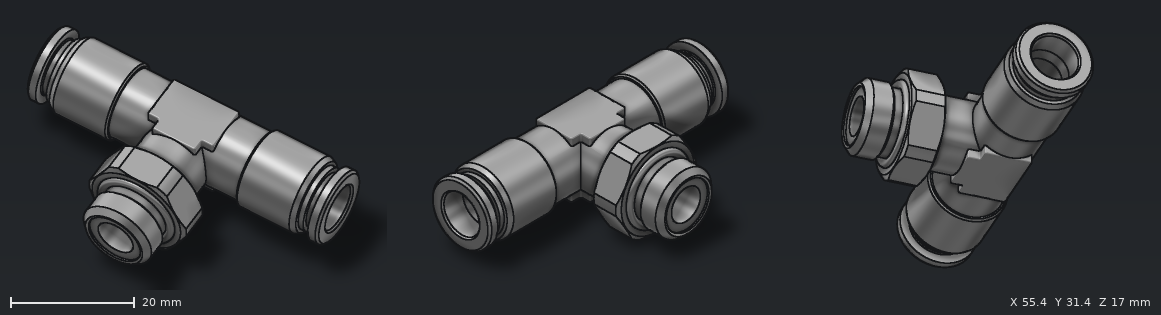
import cadquery as cq
import math


run_length = 55.4
run_radius = 6.25
sleeve_radius = 6.9
sleeve_start = 4.25
sleeve_end = 15.45
sleeve_lead_length = 1.0
sleeve_lead_height = 0.5
sleeve_back_chamfer = 0.35
shoulder_start = 3.25
shoulder_radius = 5.75
collar_radius = 6.7
collar_thickness = 1.85
collar_chamfer = 0.45
collar_root_chamfer = 0.2
collar_neck_radius = 4.95

tube_bore_radius = 4.1
tube_bore_depth = 4.7
mouth_chamfer = 0.3
mouth_chamfer_depth = 0.4
run_bore_radius = 3.5
bore_cone_length = 1.65
stud_bore_radius = 3.3

pad_half_height = 6.4
pad_reach = 6.25
pad_half_width = 4.1
pad_edge_radius = 0.35

branch_radius = run_radius
hex_sides = 6
hex_start = 11.7
hex_end = 17.55
hex_across_flats = 17.0
hex_corner_radius = 9.25
hex_face_radius = 8.4
hex_chamfer_length = 0.45

stud_end = 24.5
undercut_radius = 5.75
undercut_end = 19.5
thread_start = 20.0
thread_radius = 6.5
thread_chamfer_start = 23.4
thread_tip_radius = 5.45
tip_face_radius = 4.95
tip_chamfer_depth = 0.15
tip_recess_depth = 0.55

oring_outer_radius = 7.3
oring_section_radius = (oring_outer_radius - undercut_radius) / 2
oring_center_radius = oring_outer_radius - oring_section_radius
oring_center_y = hex_end


def revolve_about_y(points):
    """Solid of revolution about Y from (radius, distance along -Y) points."""
    outline = [(radius, -distance) for radius, distance in points]
    return cq.Workplane("XY").polyline(outline).close().revolve(360, (0, 0), (0, 1))


def revolve_about_x(points):
    """Solid of revolution about X from (x, radius) points."""
    outline = [(x, -radius) for x, radius in points]
    return cq.Workplane("XY").polyline(outline).close().revolve(360, (0, 0), (1, 0))


def revolve_symmetric_run(half_outline):
    """Full-length solid about X from (distance from the outer end, radius) points of one half."""
    half_length = run_length / 2
    left = [(distance - half_length, radius) for distance, radius in half_outline]
    right = [(-x, radius) for x, radius in reversed(left)]
    return revolve_about_x([(-half_length, 0), *left, *right, (half_length, 0)])


def make_run():
    """Outside of the run, with both sockets and release collars."""
    half_outline = [
        (0, collar_radius - collar_chamfer),
        (collar_chamfer, collar_radius),
        (collar_thickness, collar_radius),
        (collar_thickness, collar_neck_radius + collar_root_chamfer),
        (collar_thickness + collar_root_chamfer, collar_neck_radius),
        (shoulder_start, collar_neck_radius),
        (shoulder_start, shoulder_radius),
        (sleeve_start, shoulder_radius),
        (sleeve_start, sleeve_radius - sleeve_lead_height),
        (sleeve_start + sleeve_lead_length, sleeve_radius),
        (sleeve_end - sleeve_back_chamfer, sleeve_radius),
        (sleeve_end, sleeve_radius - sleeve_back_chamfer),
        (sleeve_end, run_radius),
    ]
    return revolve_symmetric_run(half_outline)


def make_pads():
    """T-shaped block with rounded edges whose ends form the two flat pads."""
    along_run = cq.Workplane("XY").box(2 * pad_reach, 2 * pad_half_width, 2 * pad_half_height)
    along_branch = (
        cq.Workplane("XY")
        .box(2 * pad_half_width, pad_reach, 2 * pad_half_height)
        .translate((0, -pad_reach / 2, 0))
    )
    block = along_run.union(along_branch)
    return block.edges("|Z").fillet(pad_edge_radius).faces("<Z or >Z").edges().fillet(pad_edge_radius)


def make_hexagon():
    """Hexagon with its corners turned down and both faces chamfered."""
    corner_circle_diameter = hex_across_flats / math.cos(math.pi / hex_sides)
    prism = (
        cq.Workplane("XZ", origin=(0, -hex_start, 0))
        .polygon(hex_sides, corner_circle_diameter)
        .extrude(hex_end - hex_start)
    )
    turned = revolve_about_y([
        (0, hex_start),
        (hex_face_radius, hex_start),
        (hex_corner_radius, hex_start + hex_chamfer_length),
        (hex_corner_radius, hex_end - hex_chamfer_length),
        (hex_face_radius, hex_end),
        (0, hex_end),
    ])
    return prism.intersect(turned)


def make_stud():
    """Branch neck, thread undercut and plain thread cylinder, with a recessed tip face."""
    return revolve_about_y([
        (0, 0),
        (branch_radius, 0),
        (branch_radius, hex_start),
        (undercut_radius, hex_start),
        (undercut_radius, undercut_end),
        (thread_radius, thread_start),
        (thread_radius, thread_chamfer_start),
        (thread_tip_radius, stud_end),
        (tip_face_radius, stud_end - tip_chamfer_depth),
        (tip_face_radius, stud_end - tip_recess_depth),
        (0, stud_end - tip_recess_depth),
    ])


def make_oring_groove():
    """Square-bottomed groove around the undercut, deep enough to seat the ring."""
    groove_bottom = oring_center_y - oring_section_radius
    return revolve_about_y([
        (undercut_radius, groove_bottom),
        (oring_outer_radius, groove_bottom),
        (oring_outer_radius, hex_end),
        (undercut_radius, hex_end),
    ])


def make_run_bore():
    """Through bore of the run, wider at both ends to take the tubes."""
    half_outline = [
        (0, tube_bore_radius + mouth_chamfer),
        (mouth_chamfer_depth, tube_bore_radius),
        (tube_bore_depth, tube_bore_radius),
        (tube_bore_depth + bore_cone_length, run_bore_radius),
    ]
    return revolve_symmetric_run(half_outline)


def make_fitting():
    """Whole fitting: outer shapes joined, then the ring groove and the bores cut."""
    stud_bore = cq.Workplane("XZ").circle(stud_bore_radius).extrude(stud_end)
    outside = make_run().union(make_stud()).union(make_pads()).union(make_hexagon())
    return outside.cut(make_oring_groove()).cut(make_run_bore()).cut(stud_bore)


def make_oring():
    """Round-section ring, half sunk in the hexagon face."""
    ring = cq.Solid.makeTorus(
        oring_center_radius,
        oring_section_radius,
        cq.Vector(0, -oring_center_y, 0),
        cq.Vector(0, -1, 0),
    )
    return cq.Workplane("XY").newObject([ring])


fitting = make_fitting()
oring = make_oring()

result = cq.Compound.makeCompound([fitting.val(), oring.val()])